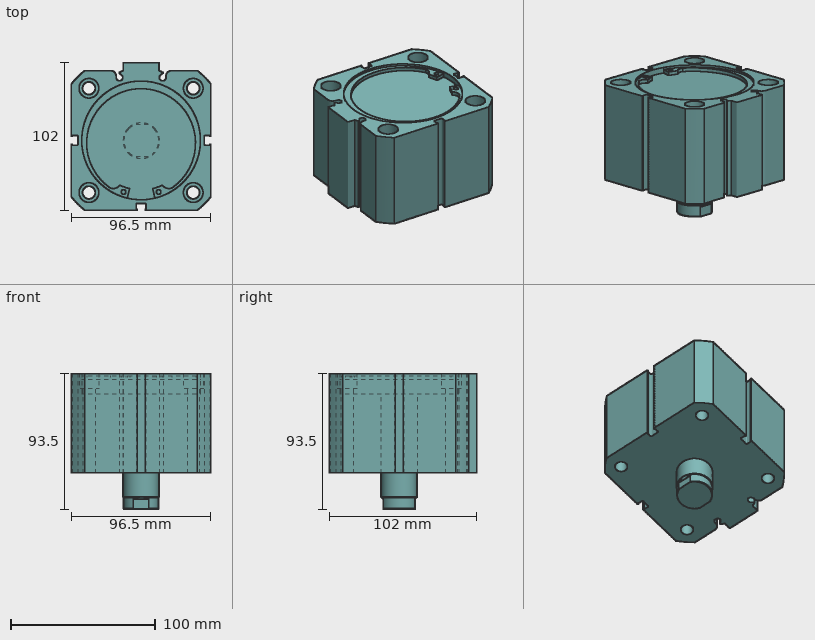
import cadquery as cq
import math


HOUSING_SIDE = 96.5
HOUSING_HEIGHT = 68.5
HALF_SIDE = HOUSING_SIDE / 2
CORNER_RADIUS = 62.0

OVERALL_Y = 102.0
RAIL_TOP = OVERALL_Y - HALF_SIDE
RAIL_HALF_WIDTH = 12.45
RAIL_EDGE_ROUND = 0.3

GROOVE_RADIUS = 2.2
GROOVE_X = 14.9
GROOVE_Y = 43.4
GROOVE_OUTER_X = GROOVE_X + GROOVE_RADIUS
SHOULDER_RADIUS = 4.0
HOOK_X = 15.2
HOOK_UPPER_Y = 46.95
HOOK_LOWER_Y = 46.4

SLOT_DEPTH = 4.6
SLOT_WIDTH = 6.5
SLOT_MOUTH_WIDTH = 5.6
SLOT_LIP = 0.9
SLOT_CORNER_ROUND = 0.5
SLOT_ANGLES = (0, 180, 270)

HOLE_PITCH = 72.0
HOLE_DIAMETER = 8.6
COUNTERBORE_DIAMETER = 13.6
COUNTERBORE_DEPTH = 10.0

RECESS_RADIUS = 41.0
RING_DROP = 1.5
RING_THICKNESS = 2.5
COVER_THICKNESS = 10.0
RING_TOP = HOUSING_HEIGHT - RING_DROP
COVER_TOP = RING_TOP - RING_THICKNESS
COVER_BOTTOM = COVER_TOP - COVER_THICKNESS

RING_INNER_RADIUS = 37.6
RING_INNER_OFFSET = 1.85
LUG_INNER_RADIUS = 34.2
LUG_START_ANGLE = 13.5
LUG_END_ANGLE = 33.0
LUG_HOLE_DIAMETER = 3.2
LUG_HOLE_ANGLE = 18.8
LUG_HOLE_PITCH_RADIUS = 37.6
LUG_RELIEF_RADIUS = 5.5
LUG_RELIEF_X = 19.2
LUG_RELIEF_Y = -27.75
SECTOR_OVERRUN = 3.0

ROD_DIAMETER = 25.0
ROD_PROJECTION = 25.0
ROD_TIP_DIAMETER = 24.4
ROD_TIP_LENGTH = 8.5
ROD_STEP_TAPER = 0.5
ROD_END_CHAMFER = 0.3
ROD_END_CHAMFER_LENGTH = 0.5
FLATS_WIDTH = 22.0


def rail_groove():
    """Undercut groove beside the rail on its +X side, with the rounded shoulder of the block."""
    diagonal = GROOVE_RADIUS * math.sqrt(0.5)
    shoulder_x = GROOVE_OUTER_X + SHOULDER_RADIUS
    shoulder_y = HALF_SIDE - SHOULDER_RADIUS
    shoulder_bulge = SHOULDER_RADIUS * math.sqrt(0.5)
    return (
        cq.Workplane("XY")
        .moveTo(RAIL_HALF_WIDTH, HALF_SIDE)
        .lineTo(HOOK_X, HOOK_UPPER_Y)
        .lineTo(HOOK_X, HOOK_LOWER_Y)
        .lineTo(GROOVE_X - diagonal, GROOVE_Y + diagonal)
        .threePointArc(
            (GROOVE_X - diagonal, GROOVE_Y - diagonal),
            (GROOVE_X, GROOVE_Y - GROOVE_RADIUS),
        )
        .threePointArc(
            (GROOVE_X + diagonal, GROOVE_Y - diagonal),
            (GROOVE_OUTER_X, GROOVE_Y),
        )
        .lineTo(GROOVE_OUTER_X, shoulder_y)
        .threePointArc(
            (shoulder_x - shoulder_bulge, shoulder_y + shoulder_bulge),
            (shoulder_x, HALF_SIDE),
        )
        .close()
        .extrude(HOUSING_HEIGHT)
    )


def rail():
    """Raised rail on the +Y face, rooted inside the block."""
    return (
        cq.Workplane("XY")
        .center(0, (RAIL_TOP + GROOVE_Y) / 2)
        .rect(2 * RAIL_HALF_WIDTH, RAIL_TOP - GROOVE_Y)
        .extrude(HOUSING_HEIGHT)
        .edges("|Z and >Y")
        .fillet(RAIL_EDGE_ROUND)
    )


def sensor_slot():
    """Slot with a lipped mouth, cut into the +X face over the whole height."""
    cavity_depth = SLOT_DEPTH - SLOT_LIP
    cavity = (
        cq.Workplane("XY")
        .center(HALF_SIDE - SLOT_LIP - cavity_depth / 2, 0)
        .rect(cavity_depth, SLOT_WIDTH)
        .extrude(HOUSING_HEIGHT)
        .edges("|Z and <X")
        .fillet(SLOT_CORNER_ROUND)
    )
    mouth = (
        cq.Workplane("XY")
        .center(HALF_SIDE - SLOT_LIP, 0)
        .rect(2 * SLOT_LIP, SLOT_MOUTH_WIDTH)
        .extrude(HOUSING_HEIGHT)
    )
    return cavity.union(mouth)


def make_housing():
    """Square block with its rail, slots, mounting holes, top recess and rod bore."""
    block = (
        cq.Workplane("XY")
        .rect(HOUSING_SIDE, HOUSING_SIDE)
        .extrude(HOUSING_HEIGHT)
        .intersect(cq.Workplane("XY").circle(CORNER_RADIUS).extrude(HOUSING_HEIGHT))
        .union(rail())
    )
    groove = rail_groove()
    block = block.cut(groove).cut(groove.mirror("YZ"))
    slot = sensor_slot()
    for angle in SLOT_ANGLES:
        block = block.cut(slot.rotate((0, 0, 0), (0, 0, 1), angle))
    return (
        block.faces(">Z")
        .workplane(origin=(0, 0, HOUSING_HEIGHT))
        .rect(HOLE_PITCH, HOLE_PITCH, forConstruction=True)
        .vertices()
        .cboreHole(HOLE_DIAMETER, COUNTERBORE_DIAMETER, COUNTERBORE_DEPTH)
        .cut(
            cq.Workplane("XY", origin=(0, 0, COVER_BOTTOM))
            .circle(RECESS_RADIUS)
            .extrude(HOUSING_HEIGHT - COVER_BOTTOM)
        )
        .cut(cq.Workplane("XY").circle(ROD_DIAMETER / 2).extrude(COVER_BOTTOM))
    )


def make_end_cover():
    """Plain disc seated at the bottom of the recess."""
    return (
        cq.Workplane("XY", origin=(0, 0, COVER_BOTTOM))
        .circle(RECESS_RADIUS)
        .extrude(COVER_THICKNESS)
    )


def polar_point(radius, angle):
    """Point at an angle in degrees from -Y, turning toward +X."""
    turn = math.radians(angle)
    return (radius * math.sin(turn), -radius * math.cos(turn))


def ring_sector(inner_radius, start_angle, end_angle):
    """Block of the ring's thickness between two angles, from a radius out past the recess wall."""
    middle_angle = (start_angle + end_angle) / 2
    outer_radius = RECESS_RADIUS + SECTOR_OVERRUN
    return (
        cq.Workplane("XY", origin=(0, 0, COVER_TOP))
        .moveTo(*polar_point(inner_radius, start_angle))
        .lineTo(*polar_point(outer_radius, start_angle))
        .lineTo(*polar_point(outer_radius, end_angle))
        .lineTo(*polar_point(inner_radius, end_angle))
        .threePointArc(
            polar_point(inner_radius, middle_angle),
            polar_point(inner_radius, start_angle),
        )
        .close()
        .extrude(RING_THICKNESS)
    )


def ring_disc(x, y, radius):
    """Disc of the ring's thickness, at the ring's height."""
    return (
        cq.Workplane("XY", origin=(x, y, COVER_TOP))
        .circle(radius)
        .extrude(RING_THICKNESS)
    )


def make_retaining_ring():
    """Open ring, thinner toward the gap, with a lug and a plier hole at each end."""
    lug = ring_sector(LUG_INNER_RADIUS, LUG_START_ANGLE, LUG_END_ANGLE).cut(
        ring_disc(LUG_RELIEF_X, LUG_RELIEF_Y, LUG_RELIEF_RADIUS)
    )
    opening = (
        ring_disc(0, -RING_INNER_OFFSET, RING_INNER_RADIUS)
        .cut(lug)
        .cut(lug.mirror("YZ"))
    )
    ring = (
        ring_disc(0, 0, RECESS_RADIUS)
        .cut(opening)
        .cut(ring_sector(LUG_INNER_RADIUS, -LUG_START_ANGLE, LUG_START_ANGLE))
    )
    for side in (-1, 1):
        x, y = polar_point(LUG_HOLE_PITCH_RADIUS, side * LUG_HOLE_ANGLE)
        ring = ring.cut(ring_disc(x, y, LUG_HOLE_DIAMETER / 2))
    return ring


def make_rod():
    """Turned rod from the end cover down to its tip, with two wrench flats facing -Y and +Y."""
    rod_radius = ROD_DIAMETER / 2
    tip_radius = ROD_TIP_DIAMETER / 2
    step_z = ROD_TIP_LENGTH - ROD_PROJECTION
    rod = (
        cq.Workplane("XZ")
        .moveTo(0, COVER_BOTTOM)
        .lineTo(rod_radius, COVER_BOTTOM)
        .lineTo(rod_radius, step_z)
        .lineTo(tip_radius, step_z - ROD_STEP_TAPER)
        .lineTo(tip_radius, ROD_END_CHAMFER_LENGTH - ROD_PROJECTION)
        .lineTo(tip_radius - ROD_END_CHAMFER, -ROD_PROJECTION)
        .lineTo(0, -ROD_PROJECTION)
        .close()
        .revolve(360, (0, 0), (0, 1))
    )
    flat_y = FLATS_WIDTH / 2
    run_out = rod_radius - flat_y
    flat_cut = (
        cq.Workplane("YZ")
        .moveTo(flat_y, -ROD_PROJECTION)
        .lineTo(flat_y, step_z - run_out)
        .lineTo(rod_radius, step_z)
        .lineTo(rod_radius, -ROD_PROJECTION)
        .close()
        .extrude(rod_radius, both=True)
    )
    return rod.cut(flat_cut).cut(flat_cut.mirror("XZ"))


housing = make_housing()
end_cover = make_end_cover()
retaining_ring = make_retaining_ring()
rod = make_rod()

result = cq.Compound.makeCompound(
    [body.solids().val() for body in (housing, end_cover, retaining_ring, rod)]
)